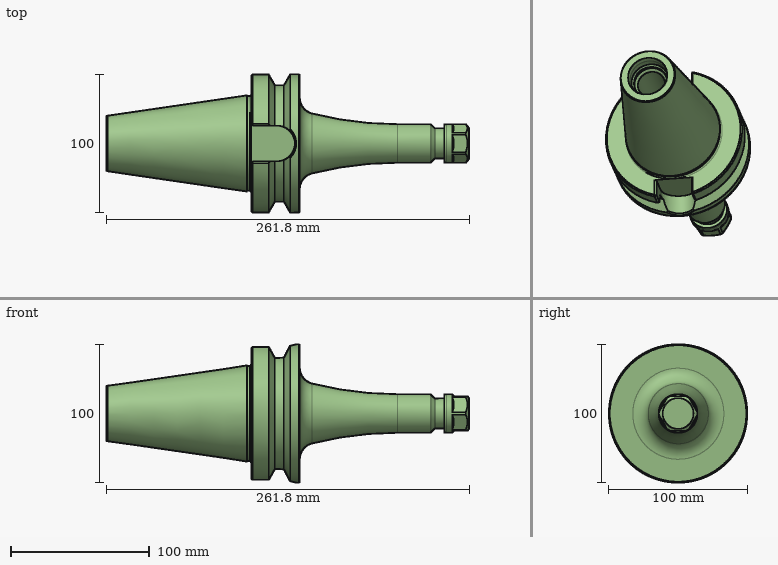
import cadquery as cq
import math

total_length = 261.8
gauge_x = 101.8
flange_front_x = 104.7
flange_back_x = 139.8
neck_arc_end_x = 210.0
nut_x = 243.7

gauge_radius = 34.8
taper_ratio = 7 / 48
taper_end_radius = gauge_radius - gauge_x * taper_ratio
taper_end_chamfer_length = 1.0
taper_end_chamfer_depth = 0.5
gauge_chamfer = 0.5
relief_radius = 34.3
relief_fillet = 1.0

flange_radius = 50.0
flange_front_chamfer = 1.0
flange_back_chamfer = 0.8
groove_floor_start_x = 121.7
groove_floor_end_x = 128.3
groove_floor_radius = 42.1
groove_flank_angle = 30.0
groove_flank_length = (flange_radius - groove_floor_radius) * math.tan(math.radians(groove_flank_angle))

slot_half_width = 12.8
slot_floor_z = 35.3
slot_end_x = 136.1
slot_chamfer = 1.3
slot_end_chamfer = 1.0

shank_diameter = 28.0
shank_radius = shank_diameter / 2
neck_arc_radius = 248.7
flange_fillet = 11.5
shank_chamfer_x = 234.0
nut_neck_radius = 11.0
shank_edge_fillet = 0.8

bore_mouth_radius = 14.5
pilot_radius = 13.5
thread_radius = 12.0
bore_radius = 10.0
mouth_depth = 3.5
pilot_depth = 10.0
pilot_step_length = 1.0
thread_depth = 13.4
thread_cone_end_depth = 15.2
bore_depth = 52.4
drill_point_angle = 118.0

nut_radius = shank_radius
nut_back_taper_length = 1.5
nut_back_taper_depth = 0.3
nut_collar_end_x = 249.5
nut_hex_half_width = 12.5
nut_end_chamfer_length = 2.4
nut_end_chamfer_depth = 3.0


def revolve_about_x(sketch):
    """Revolve a closed XY outline, drawn with Y as the radius, about the X axis."""
    return sketch.close().revolve(360, (0, 0, 0), (1, 0, 0))


def make_holder_blank():
    """Turned outside of the holder: taper, flange, curved shank and nut neck."""
    taper_start_radius = taper_end_radius + taper_end_chamfer_length * taper_ratio
    taper_large_x = gauge_x - gauge_chamfer
    taper_large_radius = gauge_radius - gauge_chamfer * taper_ratio

    neck_center_radius = shank_radius + neck_arc_radius
    fillet_center_x = flange_back_x + flange_fillet
    center_distance = neck_arc_radius - flange_fillet
    fillet_center_radius = neck_center_radius - math.sqrt(
        center_distance**2 - (neck_arc_end_x - fillet_center_x) ** 2
    )
    join_angle = math.asin((neck_arc_end_x - fillet_center_x) / center_distance)

    def neck_point(angle):
        return (
            neck_arc_end_x - neck_arc_radius * math.sin(angle),
            neck_center_radius - neck_arc_radius * math.cos(angle),
        )

    fillet_middle_angle = (join_angle + math.pi / 2) / 2
    fillet_middle = (
        fillet_center_x - flange_fillet * math.sin(fillet_middle_angle),
        fillet_center_radius - flange_fillet * math.cos(fillet_middle_angle),
    )

    outline = (
        cq.Workplane("XY")
        .moveTo(0, 0)
        .lineTo(0, taper_start_radius - taper_end_chamfer_depth)
        .lineTo(taper_end_chamfer_length, taper_start_radius)
        .lineTo(taper_large_x, taper_large_radius)
        .lineTo(gauge_x, relief_radius)
        .lineTo(flange_front_x - relief_fillet, relief_radius)
        .radiusArc((flange_front_x, relief_radius + relief_fillet), -relief_fillet)
        .lineTo(flange_front_x, flange_radius - flange_front_chamfer)
        .lineTo(flange_front_x + flange_front_chamfer, flange_radius)
        .lineTo(groove_floor_start_x - groove_flank_length, flange_radius)
        .lineTo(groove_floor_start_x, groove_floor_radius)
        .lineTo(groove_floor_end_x, groove_floor_radius)
        .lineTo(groove_floor_end_x + groove_flank_length, flange_radius)
        .lineTo(flange_back_x - flange_back_chamfer, flange_radius)
        .lineTo(flange_back_x, flange_radius - flange_back_chamfer)
        .lineTo(flange_back_x, fillet_center_radius)
        .threePointArc(fillet_middle, neck_point(join_angle))
        .threePointArc(neck_point(join_angle / 2), (neck_arc_end_x, shank_radius))
        .lineTo(shank_chamfer_x, shank_radius)
        .lineTo(shank_chamfer_x + shank_radius - nut_neck_radius, nut_neck_radius)
        .lineTo(nut_x, nut_neck_radius)
        .lineTo(nut_x, 0)
    )
    return revolve_about_x(outline)


def round_shank_end(holder):
    """Soften both edges of the cone that steps the shank down to the nut neck."""
    cone_end_x = shank_chamfer_x + shank_radius - nut_neck_radius
    edges = cq.selectors.BoxSelector(
        (shank_chamfer_x - shank_edge_fillet, -flange_radius, -flange_radius),
        (cone_end_x + shank_edge_fillet, flange_radius, flange_radius),
        boundingbox=True,
    )
    return holder.edges(edges).fillet(shank_edge_fillet)


def make_pull_stud_bore():
    """Stepped blind bore in the small end, finished with a drill point."""
    point_length = bore_radius / math.tan(math.radians(drill_point_angle / 2))
    outline = (
        cq.Workplane("XY")
        .moveTo(0, 0)
        .lineTo(0, bore_mouth_radius)
        .lineTo(mouth_depth, pilot_radius)
        .lineTo(pilot_depth, pilot_radius)
        .lineTo(pilot_depth + pilot_step_length, thread_radius)
        .lineTo(thread_depth, thread_radius)
        .lineTo(thread_cone_end_depth, bore_radius)
        .lineTo(bore_depth, bore_radius)
        .lineTo(bore_depth + point_length, 0)
    )
    return revolve_about_x(outline)


def make_drive_slot():
    """Round-ended slot cutter for the +Z side, with chamfered mouth and top edges."""
    slot_height = flange_radius - slot_floor_z
    mouth_half_width = slot_half_width + slot_chamfer
    slot_center_x = slot_end_x - slot_half_width
    slot = (
        cq.Workplane("XY", origin=(0, 0, slot_floor_z))
        .moveTo(flange_front_x, -mouth_half_width)
        .lineTo(flange_front_x + slot_chamfer, -slot_half_width)
        .lineTo(slot_center_x, -slot_half_width)
        .threePointArc((slot_end_x, 0), (slot_center_x, slot_half_width))
        .lineTo(flange_front_x + slot_chamfer, slot_half_width)
        .lineTo(flange_front_x, mouth_half_width)
        .close()
        .extrude(slot_height)
    )

    wall_top_z = math.sqrt(flange_radius**2 - mouth_half_width**2)
    flare_half_width = mouth_half_width + flange_radius - wall_top_z
    flare = (
        cq.Workplane("YZ", origin=(flange_front_x, 0, 0))
        .moveTo(-slot_half_width, wall_top_z - slot_chamfer)
        .lineTo(slot_half_width, wall_top_z - slot_chamfer)
        .lineTo(flare_half_width, flange_radius)
        .lineTo(-flare_half_width, flange_radius)
        .close()
        .extrude(groove_floor_start_x - flange_front_x)
    )
    return slot.union(flare)


def chamfer_slot_ends(holder):
    """Break the curved edges where the round slot ends cut the rear rim of the flange."""
    rim_start_x = groove_floor_end_x + groove_flank_length
    margin = 0.3
    for side in (1, -1):
        edges = cq.selectors.BoxSelector(
            (rim_start_x - margin, -slot_half_width, side * groove_floor_radius),
            (slot_end_x + margin, slot_half_width, side * (flange_radius + margin)),
            boundingbox=True,
        )
        holder = holder.edges(edges).chamfer(slot_end_chamfer)
    return holder


def make_holder():
    """Tool holder with two opposite drive slots and a pull-stud bore."""
    holder = round_shank_end(make_holder_blank()).cut(make_pull_stud_bore())
    for side_angle in (0, 180):
        holder = holder.cut(make_drive_slot().rotate((0, 0, 0), (1, 0, 0), side_angle))
    return chamfer_slot_ends(holder)


def make_nut():
    """Collet nut: round collar running by a cone into a corner-rounded hexagon."""
    envelope = revolve_about_x(
        cq.Workplane("XY")
        .moveTo(nut_x, 0)
        .lineTo(nut_x, nut_radius - nut_back_taper_depth)
        .lineTo(nut_x + nut_back_taper_length, nut_radius)
        .lineTo(total_length - nut_end_chamfer_length, nut_radius)
        .lineTo(total_length, nut_radius - nut_end_chamfer_depth)
        .lineTo(total_length, 0)
    )
    collar = revolve_about_x(
        cq.Workplane("XY")
        .moveTo(nut_x, 0)
        .lineTo(nut_x, nut_radius)
        .lineTo(nut_collar_end_x, nut_radius)
        .lineTo(nut_collar_end_x + nut_radius, 0)
    )
    corner_diameter = 2 * nut_hex_half_width / math.cos(math.pi / 6)
    hexagon = (
        cq.Workplane("YZ", origin=(nut_x, 0, 0))
        .polygon(6, corner_diameter)
        .extrude(total_length - nut_x)
    )
    return envelope.intersect(collar.union(hexagon))


holder = make_holder()
nut = make_nut()

result = cq.Compound.makeCompound([holder.val(), nut.val()])